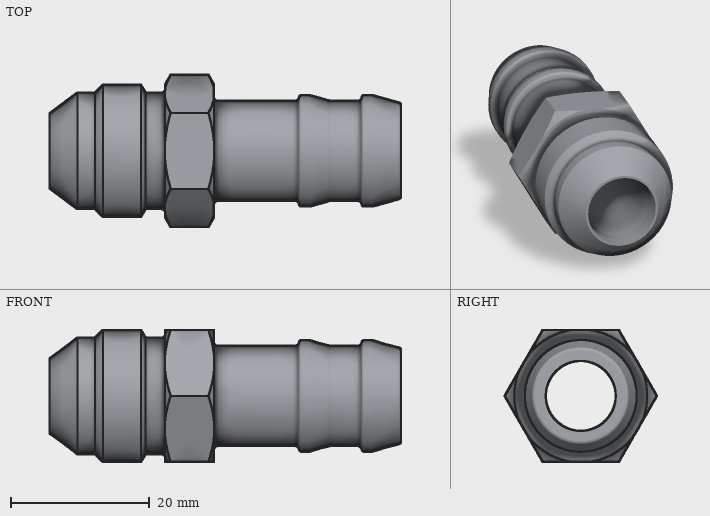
import cadquery as cq
import math

total_length = 50.7
bore_radius = 5.0

nose_tip_radius = 5.35
nose_length = 4.05
neck_radius = 8.4
thread_radius = 9.55
thread_start = 6.6
thread_lead_in = thread_radius - neck_radius
thread_end = 13.2
thread_run_out = 0.7

hex_start = 16.7
hex_width = 7.05
hex_end = hex_start + hex_width
hex_across_flats = 19.0
hex_across_corners = hex_across_flats / math.cos(math.radians(30))
hex_face_radius = 9.6
hex_chamfer_angle = 30.0

tail_radius = 7.25
barb_radius = 8.05
barb_starts = (35.95, 44.95)
barb_crest_end = 1.5
barb_slope = 0.28
tip_edge_radius = 0.5

root_fillet = 0.45

barb_arc_rise = (barb_radius - tail_radius) / 2
barb_arc_length = math.sqrt(root_fillet**2 - (root_fillet - barb_arc_rise) ** 2)


def add_barb_front(profile, start):
    """Draw the S-shaped front of a barb (equal root and edge arcs) and its crest."""
    mid_radius = (tail_radius + barb_radius) / 2
    return (
        profile.lineTo(start - barb_arc_length, tail_radius)
        .radiusArc((start, mid_radius), -root_fillet)
        .radiusArc((start + barb_arc_length, barb_radius), root_fillet)
        .lineTo(start + barb_crest_end, barb_radius)
    )


def make_turned_body():
    """Revolve the outer profile around the X axis."""
    first_barb, last_barb = barb_starts
    barb_taper_length = (barb_radius - tail_radius) / barb_slope

    taper_angle = math.atan(barb_slope)
    tip_center_x = total_length - tip_edge_radius
    tip_center_radius = (
        barb_radius
        - barb_slope * (tip_center_x - last_barb - barb_crest_end)
        - tip_edge_radius / math.cos(taper_angle)
    )
    tip_round_start = (
        tip_center_x + tip_edge_radius * math.sin(taper_angle),
        tip_center_radius + tip_edge_radius * math.cos(taper_angle),
    )

    profile = (
        cq.Workplane("XY")
        .lineTo(0, nose_tip_radius)
        .lineTo(nose_length, neck_radius)
        .lineTo(thread_start, neck_radius)
        .lineTo(thread_start + thread_lead_in, thread_radius)
        .lineTo(thread_end, thread_radius)
        .lineTo(thread_end + thread_run_out, neck_radius)
        .lineTo(hex_start - root_fillet, neck_radius)
        .radiusArc((hex_start, neck_radius + root_fillet), -root_fillet)
        .lineTo(hex_end, neck_radius + root_fillet)
        .lineTo(hex_end, tail_radius + root_fillet)
        .radiusArc((hex_end + root_fillet, tail_radius), -root_fillet)
    )
    profile = add_barb_front(profile, first_barb)
    profile = profile.lineTo(first_barb + barb_crest_end + barb_taper_length, tail_radius)
    profile = add_barb_front(profile, last_barb)
    profile = (
        profile.lineTo(*tip_round_start)
        .radiusArc((total_length, tip_center_radius), tip_edge_radius)
        .lineTo(total_length, 0)
        .close()
    )
    return profile.revolve(360, (0, 0, 0), (1, 0, 0))


def make_hexagon():
    """Hexagon with corners along Y and conical chamfers on both end faces."""
    corner_radius = hex_across_corners / 2
    chamfer_length = (corner_radius - hex_face_radius) * math.tan(math.radians(hex_chamfer_angle))
    prism = (
        cq.Workplane("YZ")
        .workplane(offset=hex_start)
        .polygon(6, hex_across_corners)
        .extrude(hex_width)
    )
    envelope = (
        cq.Workplane("YZ")
        .workplane(offset=hex_start)
        .circle(corner_radius)
        .extrude(hex_width)
        .faces("<X or >X")
        .chamfer(chamfer_length, corner_radius - hex_face_radius)
    )
    return prism.intersect(envelope)


bore = cq.Workplane("YZ").circle(bore_radius).extrude(total_length)
result = make_turned_body().union(make_hexagon()).cut(bore)